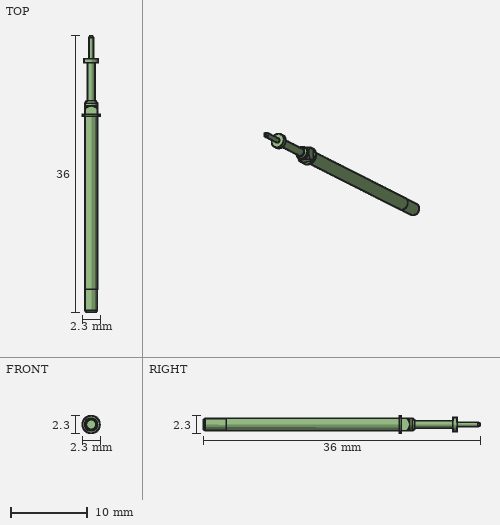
import cadquery as cq

total_length = 36.0
pin_end = 3.0
disc_end = 3.53
neck_end = 8.5
nose_end = 8.8
square_start = 9.15
collar_start = 10.22
collar_end = 10.48
tail_length = 3.0
tail_start = total_length - tail_length

pin_diameter = 0.6
disc_diameter = 1.87
neck_diameter = 1.0
nose_front_diameter = 1.22
body_diameter = 1.65
collar_diameter = 2.3
tail_diameter = 1.62

pin_chamfer_length = 0.3
pin_chamfer_depth = 0.15
tail_chamfer_length = 0.25
tail_chamfer_depth = 0.18

square_side = body_diameter
corner_diameter = collar_diameter
square_chamfer_length = 0.32

tip_y = total_length / 2


def turned(stations):
    """Revolve (distance behind the tip, diameter) pairs about the Y axis."""
    start, end = stations[0][0], stations[-1][0]
    outline = [(0, tip_y - start)]
    outline += [(diameter / 2, tip_y - distance) for distance, diameter in stations]
    outline.append((0, tip_y - end))
    return cq.Workplane("XY").polyline(outline).close().revolve(360, (0, 0, 0), (0, 1, 0))


def turned_steps():
    """All the round steps of the probe, from the pin tip to the tail."""
    return turned([
        (0, pin_diameter - 2 * pin_chamfer_depth),
        (pin_chamfer_length, pin_diameter),
        (pin_end, pin_diameter),
        (pin_end, disc_diameter),
        (disc_end, disc_diameter),
        (disc_end, neck_diameter),
        (neck_end, neck_diameter),
        (neck_end, nose_front_diameter),
        (nose_end, body_diameter),
        (collar_start, body_diameter),
        (collar_start, collar_diameter),
        (collar_end, collar_diameter),
        (collar_end, body_diameter),
        (tail_start, body_diameter),
        (tail_start, tail_diameter),
        (total_length - tail_chamfer_length, tail_diameter),
        (total_length, tail_diameter - 2 * tail_chamfer_depth),
    ])


def square_shoulder():
    """Square block whose front corners are turned down to a cone."""
    length = collar_start - square_start
    middle_y = tip_y - (square_start + collar_start) / 2
    block = cq.Workplane("XY").box(square_side, length, square_side).translate((0, middle_y, 0))
    envelope = turned([
        (square_start, body_diameter),
        (square_start + square_chamfer_length, corner_diameter),
        (collar_start, corner_diameter),
    ])
    return block.intersect(envelope)


result = turned_steps().union(square_shoulder())